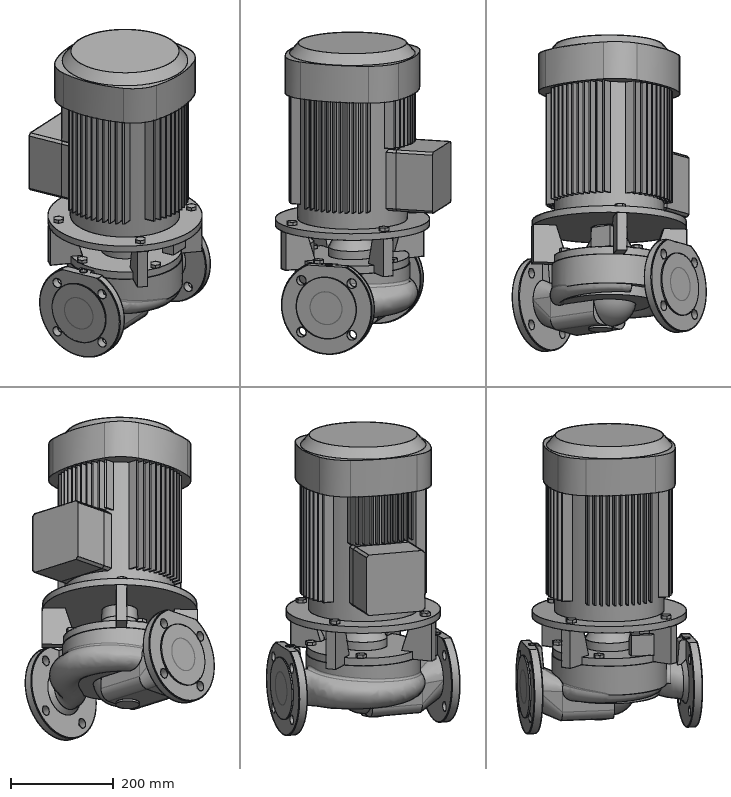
import cadquery as cq
import math


HOUSING_TOP_Z = 57.5
BASE_DISC_TOP_Z = 72.5
MOTOR_BOTTOM_Z = 132.0
MOTOR_FLANGE_TOP_Z = 145.0
FIN_BOTTOM_Z = 180.0
COWL_BOTTOM_Z = 400.0
COWL_SHOULDER_Z = 473.0
MOTOR_TOP_Z = 493.0

PORT_FACE_Y = 170.0
RAISED_FACE_R = 61.0
RAISED_FACE_HEIGHT = 3.0
FLANGE_R = 92.5
FLANGE_THICKNESS = 18.0
FLANGE_CHAMFER = 1.5
FLANGE_FLAT_Z = 82.5
FLANGE_BOLT_CIRCLE_R = 72.5
FLANGE_HOLE_D = 19.0
PORT_R = 32.5
FLANGE_FRONT_Y = PORT_FACE_Y - RAISED_FACE_HEIGHT
FLANGE_BACK_Y = FLANGE_FRONT_Y - FLANGE_THICKNESS

GAUGE_BOSS_WIDTH = 28.0
GAUGE_BOSS_TOP_Y = 136.5
GAUGE_BOSS_FOOT_Y = 131.0
GAUGE_BOSS_FOOT_Z = 20.0
GAUGE_BOSS_ROUND = 6.0
GAUGE_PLUG_R = 7.5
GAUGE_PLUG_Y = 152.5
GAUGE_PLUG_HEIGHT = 1.3

NECK_R = 111.5
NECK_FILLET = 6.0
CORE_R = 97.0
CORE_BOTTOM_Z = -20.0
VOLUTE_START_CENTRE_R = 93.0
VOLUTE_END_CENTRE_R = 102.0
VOLUTE_START_ANGLE = 60.0
VOLUTE_END_ANGLE = -195.0
VOLUTE_SECTIONS = 10
VOLUTE_START_TUBE_R = 14.0
VOLUTE_END_TUBE_R = 29.5
OUTLET_BEND_X = -55.0
OUTLET_BEND_Y = 90.0
OUTLET_BEND_TUBE_R = 32.5
OUTLET_BEND_ANGLE = 50.0
OUTLET_NECK_Y = 140.0
OUTLET_NECK_R = 37.0
PORT_FLARE_R = 46.0

CHANNEL_HALF_WIDTH = 53.0
CHANNEL_BOTTOM_Z = -63.5
CHANNEL_TOP_Z = 19.5
CHANNEL_CORNER_R = 21.0
CHANNEL_END_Y = -103.0
PORT_CORNER_R = PORT_FLARE_R - 0.5
DOME_R = CHANNEL_HALF_WIDTH - 0.5
FOOT_R = 23.0
FOOT_Y = -21.0
FOOT_BOTTOM_Z = -67.5

BASE_DISC_R = 110.0
LEG_OUTER_R = 151.0
LEG_WIDTH = 20.0
LEG_INNER_TOP_R = 106.0
LEG_INNER_BOTTOM_R = 82.0
GUARD_TOP_R = 34.5
GUARD_WAIST_R = 36.0
GUARD_BASE_R = 46.5
GUARD_CONE_TOP_Z = 108.0
GUARD_CONE_BOTTOM_Z = 89.0
STOOL_BOLT_CIRCLE_R = 102.0
STOOL_BOLT_START_ANGLE = 67.5
STOOL_BLOCK_X = (70.0, 95.0)
STOOL_BLOCK_Y = (25.0, 70.0)
STOOL_BLOCK_TOP_Z = 113.5
STOOL_BLOCK_CHAMFER = 13.0

BOLT_HEAD_ACROSS_FLATS = 18.0
BOLT_HEAD_HEIGHT = 6.5
BOLT_COUNT = 4

MOTOR_FLANGE_R = 150.0
MOTOR_BOLT_CIRCLE_R = 132.5
FRAME_R = 106.5
FIN_TIP_R = 123.0
FIN_PITCH = 12.5
FIN_THICKNESS = 3.0
FINS_PER_SIDE = 11
BOX_SIDE_FIN_BOTTOM_Z = 301.5
COWL_HALF_WIDTH = 126.5
COWL_CORNER_NEAR = 69.0
COWL_CORNER_FAR = 115.5
CAP_BOTTOM_R = 122.0
CAP_TOP_R = 105.0

BOX_OUTER_X = -182.0
BOX_SEAT_X = -108.0
BOX_WIDTH = 121.0
BOX_BOTTOM_Z = 177.0
BOX_TOP_Z = 298.0
BOX_EDGE_CHAMFER = 5.0


def cylinder(radius, bottom_z, top_z):
    """Upright cylinder on the pump axis."""
    return cq.Workplane("XY").workplane(offset=bottom_z).circle(radius).extrude(top_z - bottom_z)


def box_between(x_range, y_range, z_range):
    """Box spanning the given ranges along X, Y and Z."""
    size = [high - low for low, high in (x_range, y_range, z_range)]
    corner = (x_range[0], y_range[0], z_range[0])
    return cq.Workplane("XY").box(*size, centered=False).translate(corner)


def bolt_heads(circle_r, start_angle, seat_z):
    """Hexagon heads spaced evenly on a circle; all keep the same orientation."""
    corner_d = BOLT_HEAD_ACROSS_FLATS / math.cos(math.pi / 6)
    return (
        cq.Workplane("XY").workplane(offset=seat_z)
        .polarArray(circle_r, start_angle, 360, BOLT_COUNT, rotate=False)
        .polygon(6, corner_d)
        .extrude(BOLT_HEAD_HEIGHT)
    )


def tube_section(x, y, radius, heading):
    """Circular tube section at Z = 0, normal to a horizontal heading angle."""
    normal = (math.cos(heading), math.sin(heading), 0)
    plane = cq.Plane(origin=(x, y, 0), xDir=(0, 0, -1), normal=normal)
    return cq.Workplane(plane).circle(radius).wires().val()


def volute():
    """Spiral tube that grows clockwise around the core and turns out to the +Y port."""
    sections = []
    for i in range(VOLUTE_SECTIONS):
        fraction = i / (VOLUTE_SECTIONS - 1)
        angle = math.radians(VOLUTE_START_ANGLE + fraction * (VOLUTE_END_ANGLE - VOLUTE_START_ANGLE))
        tube_r = VOLUTE_START_TUBE_R + fraction * (VOLUTE_END_TUBE_R - VOLUTE_START_TUBE_R)
        spread = fraction**3
        centre_r = VOLUTE_START_CENTRE_R + spread * (VOLUTE_END_CENTRE_R - VOLUTE_START_CENTRE_R)
        x = centre_r * math.cos(angle)
        y = centre_r * math.sin(angle)
        sections.append(tube_section(x, y, tube_r, angle - math.pi / 2))
    bend_heading = math.radians(OUTLET_BEND_ANGLE)
    sections.append(tube_section(OUTLET_BEND_X, OUTLET_BEND_Y, OUTLET_BEND_TUBE_R, bend_heading))
    sections.append(tube_section(0, OUTLET_NECK_Y, OUTLET_NECK_R, math.pi / 2))
    return cq.Workplane(cq.Solid.makeLoft(sections))


def outlet_flare():
    """Short cone from the outlet tube to the back of the +Y flange."""
    length = FLANGE_BACK_Y - OUTLET_NECK_Y
    start = cq.Vector(0, OUTLET_NECK_Y, 0)
    return cq.Workplane(cq.Solid.makeCone(OUTLET_NECK_R, PORT_FLARE_R, length, start, cq.Vector(0, 1, 0)))


def rounded_section(y, half_width, bottom_z, top_z, corner_r):
    """Rounded rectangle wire in an XZ plane, centred on X = 0."""
    mid_z = (bottom_z + top_z) / 2
    plate = cq.Workplane("XZ", origin=(0, y, mid_z)).rect(2 * half_width, top_z - bottom_z).extrude(1)
    return plate.edges("|Y").fillet(corner_r).faces(">Y").wires().val()


def suction_channel():
    """Channel from the -Y port to the dome below the impeller, with a round foot."""
    channel_section = (CHANNEL_HALF_WIDTH, CHANNEL_BOTTOM_Z, CHANNEL_TOP_Z, CHANNEL_CORNER_R)
    port_section = (PORT_FLARE_R, -PORT_FLARE_R, PORT_FLARE_R, PORT_CORNER_R)
    sections = [
        rounded_section(0, *channel_section),
        rounded_section(CHANNEL_END_Y, *channel_section),
        rounded_section(-FLANGE_BACK_Y, *port_section),
    ]
    channel = cq.Workplane(cq.Solid.makeLoft(sections, True))

    dome_z = CHANNEL_BOTTOM_Z + CHANNEL_HALF_WIDTH
    dome = cq.Workplane("XY").sphere(DOME_R).rotate((0, 0, 0), (0, 0, 1), 90).translate((0, 0, dome_z))
    foot = cylinder(FOOT_R, FOOT_BOTTOM_Z, CORE_BOTTOM_Z).translate((0, FOOT_Y, 0))
    return channel.union(dome).union(foot)


def pipe_flange():
    """Flange of the -Y port with its raised face, bolt holes and top gauge boss."""
    disc = (
        cq.Workplane("XZ", origin=(0, -FLANGE_BACK_Y, 0))
        .circle(FLANGE_R).extrude(FLANGE_THICKNESS)
        .edges().chamfer(FLANGE_CHAMFER)
    )
    raised_face = cq.Workplane("XZ", origin=(0, -FLANGE_FRONT_Y, 0)).circle(RAISED_FACE_R)
    flange = disc.union(raised_face.extrude(RAISED_FACE_HEIGHT))
    boss = (
        cq.Workplane("YZ", origin=(-GAUGE_BOSS_WIDTH / 2, 0, 0))
        .moveTo(-FLANGE_FRONT_Y + FLANGE_CHAMFER, FLANGE_FLAT_Z)
        .lineTo(-GAUGE_BOSS_TOP_Y, FLANGE_FLAT_Z)
        .lineTo(-GAUGE_BOSS_FOOT_Y, GAUGE_BOSS_FOOT_Z)
        .lineTo(-FLANGE_FRONT_Y + FLANGE_CHAMFER, GAUGE_BOSS_FOOT_Z)
        .close().extrude(GAUGE_BOSS_WIDTH)
        .faces(">Z").edges("|X").edges(">Y").fillet(GAUGE_BOSS_ROUND)
    )
    above_flat = box_between(
        (-FLANGE_R, FLANGE_R), (-PORT_FACE_Y, -FLANGE_BACK_Y), (FLANGE_FLAT_Z, FLANGE_R)
    )
    holes = (
        cq.Workplane("XZ", origin=(0, -FLANGE_BACK_Y, 0))
        .polarArray(FLANGE_BOLT_CIRCLE_R, 45, 360, BOLT_COUNT)
        .circle(FLANGE_HOLE_D / 2).extrude(FLANGE_THICKNESS)
    )
    plug = cylinder(GAUGE_PLUG_R, GAUGE_BOSS_FOOT_Z, FLANGE_FLAT_Z + GAUGE_PLUG_HEIGHT)
    plug = plug.translate((0, -GAUGE_PLUG_Y, 0))
    return flange.cut(above_flat).cut(holes).union(boss).union(plug)


def mark_port_circles(housing):
    """Split each raised face along the port circle; the ports stay closed and flush."""
    for side in (-1, 1):
        disc = cq.Workplane("XZ", origin=(0, side * PORT_FACE_Y, 0)).circle(PORT_R)
        disc = disc.extrude(side * RAISED_FACE_HEIGHT)
        housing = housing.cut(disc, clean=False).union(disc, clean=False)
    return housing


def pump_housing():
    """Volute casing with the suction channel and both pipe flanges."""
    neck = cylinder(NECK_R, 0, HOUSING_TOP_Z)
    core = cylinder(CORE_R, CORE_BOTTOM_Z, HOUSING_TOP_Z)
    casing = neck.union(core).union(volute())
    seam = casing.edges("%BSPLINE").filter(lambda edge: edge.Center().z > NECK_FILLET)
    casing = seam.fillet(NECK_FILLET)
    housing = casing.union(outlet_flare()).union(suction_channel())
    flange = pipe_flange()
    for angle in (0, 180):
        housing = housing.union(flange.rotate((0, 0, 0), (0, 0, 1), angle))
    return mark_port_circles(housing)


def stool_leg():
    """Leg plate in the XZ plane with a sloping inner edge."""
    return (
        cq.Workplane("XZ", origin=(0, LEG_WIDTH / 2, 0))
        .moveTo(LEG_INNER_BOTTOM_R, HOUSING_TOP_Z)
        .lineTo(LEG_OUTER_R, HOUSING_TOP_Z)
        .lineTo(LEG_OUTER_R, MOTOR_BOTTOM_Z)
        .lineTo(LEG_INNER_TOP_R, MOTOR_BOTTOM_Z)
        .close().extrude(LEG_WIDTH)
    )


def coupling_guard():
    """Stepped cone around the shaft coupling."""
    return (
        cq.Workplane("XZ")
        .moveTo(0, BASE_DISC_TOP_Z)
        .lineTo(GUARD_BASE_R, BASE_DISC_TOP_Z)
        .lineTo(GUARD_BASE_R, GUARD_CONE_BOTTOM_Z)
        .lineTo(GUARD_WAIST_R, GUARD_CONE_TOP_Z)
        .lineTo(GUARD_TOP_R, MOTOR_BOTTOM_Z)
        .lineTo(0, MOTOR_BOTTOM_Z)
        .close().revolve(360, (0, 0, 0), (0, 1, 0))
    )


def motor_stool():
    """Base disc, four diagonal legs, coupling guard, bolt heads and side block."""
    stool = cylinder(BASE_DISC_R, HOUSING_TOP_Z, BASE_DISC_TOP_Z).union(coupling_guard())
    for angle in (45, 135, 225, 315):
        stool = stool.union(stool_leg().rotate((0, 0, 0), (0, 0, 1), angle))
    block = box_between(STOOL_BLOCK_X, STOOL_BLOCK_Y, (BASE_DISC_TOP_Z, STOOL_BLOCK_TOP_Z))
    block = block.edges("|Y and <X and >Z").chamfer(STOOL_BLOCK_CHAMFER)
    heads = bolt_heads(STOOL_BOLT_CIRCLE_R, STOOL_BOLT_START_ANGLE, BASE_DISC_TOP_Z)
    return stool.union(block).union(heads)


def cooling_fins():
    """Parallel fins on all four sides, their tips on one cylinder."""
    span = (FINS_PER_SIDE - 1) * FIN_PITCH / 2
    offsets = [i * FIN_PITCH - span for i in range(FINS_PER_SIDE)]
    plates = cq.Workplane("XY").workplane(offset=FIN_BOTTOM_Z)
    height = COWL_BOTTOM_Z - FIN_BOTTOM_Z
    y_fins = plates.pushPoints([(o, 0) for o in offsets]).rect(FIN_THICKNESS, 2 * FIN_TIP_R).extrude(height)
    x_fins = plates.pushPoints([(0, o) for o in offsets]).rect(2 * FIN_TIP_R, FIN_THICKNESS).extrude(height)
    below_box_fins = box_between(
        (-FIN_TIP_R, 0), (-FRAME_R, FRAME_R), (FIN_BOTTOM_Z, BOX_SIDE_FIN_BOTTOM_Z)
    )
    tips = cylinder(FIN_TIP_R, FIN_BOTTOM_Z, COWL_BOTTOM_Z)
    return y_fins.union(x_fins.cut(below_box_fins)).intersect(tips)


def fan_cowl():
    """Cowl with four bulged sides, tangent round corners and a conical cap."""
    bulge = COWL_HALF_WIDTH - COWL_CORNER_FAR
    side_r = (COWL_CORNER_NEAR**2 + bulge**2) / (2 * bulge)
    turn = math.pi / 4 - math.asin(COWL_CORNER_NEAR / side_r)
    chord = (COWL_CORNER_FAR - COWL_CORNER_NEAR) * math.sqrt(2)
    corner_sagitta = chord / 2 * math.tan(turn / 2)
    corner_mid = (COWL_CORNER_NEAR + COWL_CORNER_FAR) / 2 + corner_sagitta / math.sqrt(2)

    outline = cq.Workplane("XY").workplane(offset=COWL_BOTTOM_Z)
    outline = outline.moveTo(COWL_CORNER_FAR, -COWL_CORNER_NEAR)
    for quarter in range(4):
        c = round(math.cos(quarter * math.pi / 2))
        s = round(math.sin(quarter * math.pi / 2))
        side_mid = (c * COWL_HALF_WIDTH, s * COWL_HALF_WIDTH)
        side_end = (
            c * COWL_CORNER_FAR - s * COWL_CORNER_NEAR, s * COWL_CORNER_FAR + c * COWL_CORNER_NEAR
        )
        corner = ((c - s) * corner_mid, (c + s) * corner_mid)
        corner_end = (
            c * COWL_CORNER_NEAR - s * COWL_CORNER_FAR, s * COWL_CORNER_NEAR + c * COWL_CORNER_FAR
        )
        outline = outline.threePointArc(side_mid, side_end).threePointArc(corner, corner_end)
    skirt = outline.close().extrude(COWL_SHOULDER_Z - COWL_BOTTOM_Z)
    cap = (
        cq.Workplane("XY").workplane(offset=COWL_SHOULDER_Z).circle(CAP_BOTTOM_R)
        .workplane(offset=MOTOR_TOP_Z - COWL_SHOULDER_Z).circle(CAP_TOP_R).loft()
    )
    return skirt.union(cap)


def terminal_block(outer_x, inner_x):
    """Stretch along X of the terminal box section, with chamfered long edges."""
    half_width = BOX_WIDTH / 2
    block = box_between((outer_x, inner_x), (-half_width, half_width), (BOX_BOTTOM_Z, BOX_TOP_Z))
    return block.edges("|X").chamfer(BOX_EDGE_CHAMFER)


def motor_body():
    """Finned frame with mounting flange, bolt heads, terminal box seat and fan cowl."""
    motor = cylinder(FRAME_R, MOTOR_FLANGE_TOP_Z, COWL_BOTTOM_Z)
    motor = motor.union(cooling_fins()).union(fan_cowl()).union(terminal_block(BOX_SEAT_X, 0))
    motor = motor.union(cylinder(MOTOR_FLANGE_R, MOTOR_BOTTOM_Z, MOTOR_FLANGE_TOP_Z))
    return motor.union(bolt_heads(MOTOR_BOLT_CIRCLE_R, 45, MOTOR_FLANGE_TOP_Z))


housing = pump_housing()
stool = motor_stool()
motor = motor_body()
terminal_box = terminal_block(BOX_OUTER_X, BOX_SEAT_X)

result = cq.Compound.makeCompound([housing.val(), stool.val(), motor.val(), terminal_box.val()])